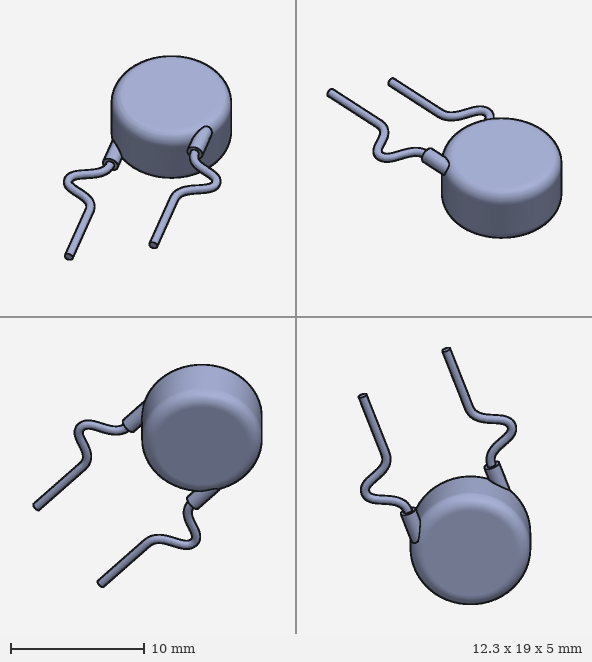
import cadquery as cq

CASE_DIAMETER = 9.0
CASE_HEIGHT = 5.0
CASE_RIM_RADIUS = 1.0

OVERALL_WIDTH = 12.3
OVERALL_LENGTH = 19.0
WIRE_DIAMETER = 0.65
KINK_DEPTH = 2.49
LEAD_HEIGHT_OFFSET = 1.75
KINK_ROOT_HANDLE = 1.67
KINK_CREST_HANDLE = 1.15

SLEEVE_DIAMETER = 1.2
SLEEVE_STRAIGHT_LENGTH = 2.2

CASE_FRONT_Y = -CASE_DIAMETER / 2
LEAD_TIP_Y = CASE_DIAMETER / 2 - OVERALL_LENGTH
KINK_LENGTH = (CASE_FRONT_Y - LEAD_TIP_Y) / 2
LEAD_X = (OVERALL_WIDTH - WIRE_DIAMETER) / 2 - KINK_DEPTH

SIDES = (-1, 1)


def make_sleeve(side):
    """Round sleeve running back from the case front plane, with a domed inner end."""
    radius = SLEEVE_DIAMETER / 2
    dome_start_y = CASE_FRONT_Y + SLEEVE_STRAIGHT_LENGTH
    return (
        cq.Workplane("XY", origin=(side * LEAD_X, 0, side * LEAD_HEIGHT_OFFSET))
        .moveTo(0, CASE_FRONT_Y)
        .lineTo(radius, CASE_FRONT_Y)
        .lineTo(radius, dome_start_y)
        .radiusArc((0, dome_start_y + radius), -radius)
        .close()
        .revolve(360, (0, 0, 0), (0, 1, 0))
    )


def make_case():
    """Disc with both rims rounded and one sleeve for each lead."""
    case = (
        cq.Workplane("XY", origin=(0, 0, -CASE_HEIGHT / 2))
        .circle(CASE_DIAMETER / 2)
        .extrude(CASE_HEIGHT)
        .faces("|Z")
        .edges()
        .fillet(CASE_RIM_RADIUS)
    )
    for side in SIDES:
        case = case.union(make_sleeve(side))
    return case


def make_lead(side):
    """Round wire that starts on the sleeve end, kinks outwards and back, then runs straight."""
    axis_x = side * LEAD_X
    crest_x = axis_x + side * KINK_DEPTH
    crest_y = CASE_FRONT_Y - KINK_LENGTH / 2
    kink_end_y = CASE_FRONT_Y - KINK_LENGTH
    root = (axis_x, CASE_FRONT_Y, side * LEAD_HEIGHT_OFFSET)

    path = (
        cq.Workplane("XY", origin=(0, 0, side * LEAD_HEIGHT_OFFSET))
        .moveTo(axis_x, CASE_FRONT_Y)
        .bezier([
            (axis_x, CASE_FRONT_Y),
            (axis_x, CASE_FRONT_Y - KINK_ROOT_HANDLE),
            (crest_x, crest_y + KINK_CREST_HANDLE),
            (crest_x, crest_y),
        ])
        .bezier([
            (crest_x, crest_y),
            (crest_x, crest_y - KINK_CREST_HANDLE),
            (axis_x, kink_end_y + KINK_ROOT_HANDLE),
            (axis_x, kink_end_y),
        ])
        .lineTo(axis_x, LEAD_TIP_Y)
    )
    return (
        cq.Workplane(cq.Plane(origin=root, xDir=(1, 0, 0), normal=(0, -1, 0)))
        .circle(WIRE_DIAMETER / 2)
        .sweep(path)
    )


case = make_case()
leads = [make_lead(side) for side in SIDES]

result = cq.Compound.makeCompound([*case.solids().vals(), *[lead.val() for lead in leads]])